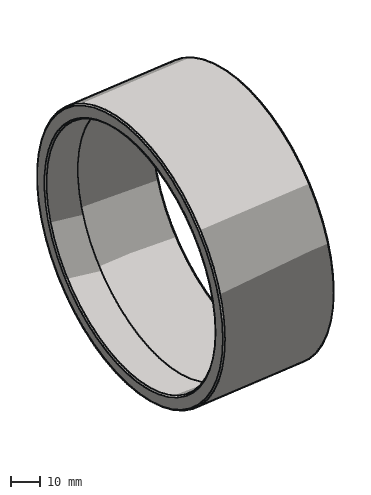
import cadquery as cq

outer_diameter = 111.5
width = 46.0
edge_chamfer = 0.6

narrow_bore_diameter = 100.5
wide_bore_diameter = 103.5
narrow_bore_depth = 13.5

front_y = -width / 2
step_y = front_y + narrow_bore_depth


def cylinder_along_y(diameter, start_y, length):
    """Solid cylinder running from start_y towards +Y."""
    start_plane = cq.Plane(origin=(0, start_y, 0), xDir=(1, 0, 0), normal=(0, 1, 0))
    return cq.Workplane(start_plane).circle(diameter / 2).extrude(length)


body = cylinder_along_y(outer_diameter, front_y, width)
narrow_bore = cylinder_along_y(narrow_bore_diameter, front_y, width)
wide_bore = cylinder_along_y(wide_bore_diameter, step_y, width - narrow_bore_depth)
ring = body.cut(narrow_bore).cut(wide_bore)

result = ring.faces("<Y or >Y").edges().chamfer(edge_chamfer)